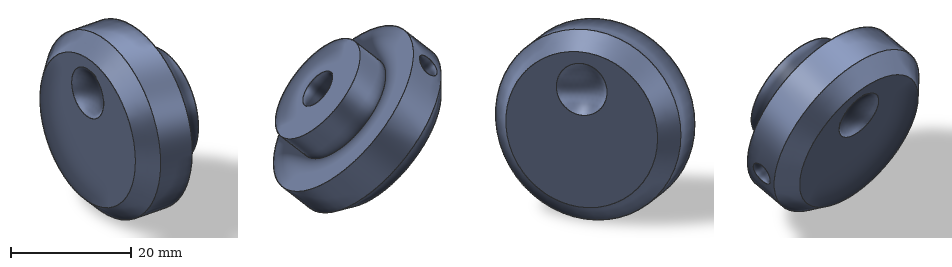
import cadquery as cq

disc_diameter = 33.0
total_depth = 15.5
hub_diameter = 20.0
hub_length = 6.0
front_chamfer = 3.0
disc_thickness = total_depth - hub_length

dimple_diameter = 9.0
dimple_depth = 2.0
dimple_offset = 7.0

screw_hole_diameter = 4.12
screw_hole_from_shoulder = 3.5
screw_hole_y = disc_thickness - screw_hole_from_shoulder

bore_diameter = 7.0
front_wall = 3.0


def make_body():
    """Revolve the half profile of disc, chamfer and hub around Y."""
    disc_radius = disc_diameter / 2
    hub_radius = hub_diameter / 2
    profile = (
        cq.Workplane("XY")
        .lineTo(disc_radius - front_chamfer, 0)
        .lineTo(disc_radius, front_chamfer)
        .lineTo(disc_radius, disc_thickness)
        .lineTo(hub_radius, disc_thickness)
        .lineTo(hub_radius, total_depth)
        .lineTo(0, total_depth)
        .close()
    )
    return profile.revolve(360, (0, 0, 0), (0, 1, 0))


def make_dimple():
    """Sphere in front of the part whose cap sinks dimple_depth into the face."""
    rim_radius = dimple_diameter / 2
    sphere_radius = (rim_radius**2 + dimple_depth**2) / (2 * dimple_depth)
    centre_y = dimple_depth - sphere_radius
    return cq.Workplane("XY").sphere(sphere_radius).translate((0, centre_y, dimple_offset))


def make_bore():
    """Cylinder on the main axis from the hub end down to the front wall."""
    return (
        cq.Workplane("XZ", origin=(0, total_depth, 0))
        .circle(bore_diameter / 2)
        .extrude(total_depth - front_wall)
    )


def make_screw_hole():
    """Cylinder along +X from the rim to the main axis, opening into the bore."""
    return (
        cq.Workplane("YZ", origin=(-disc_diameter / 2, 0, 0))
        .center(screw_hole_y, 0)
        .circle(screw_hole_diameter / 2)
        .extrude(disc_diameter / 2)
    )


result = make_body().cut(make_dimple()).cut(make_bore()).cut(make_screw_hole())